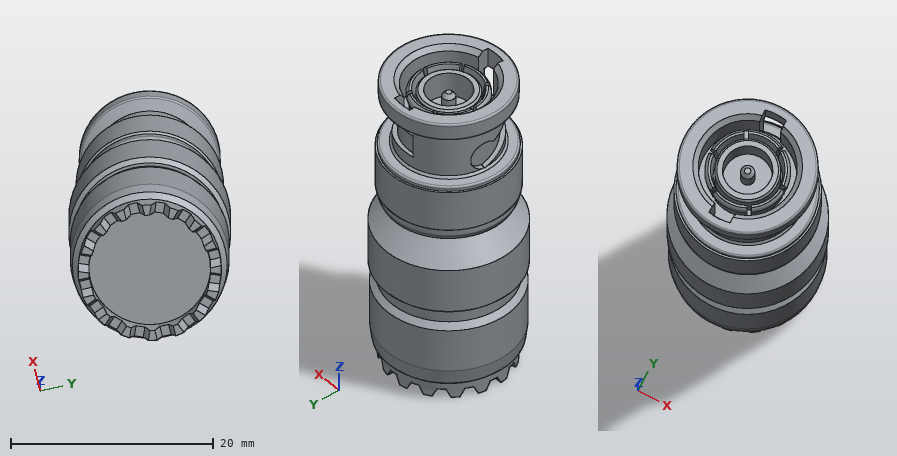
import cadquery as cq
import math

total_height = 35.4
grip_radius = 8.0

tooth_count = 16
tooth_height = 1.03
toothed_rim_radius = 7.08
toothed_rim_height = 1.8
toothed_rim_bore = 6.02
gap_root_width = 0.9
gap_mouth_width = 1.88

lower_grip_radius = 7.85
lower_taper_radius = 7.65
lower_taper_bottom = 2.37
lower_taper_top = 4.1
lower_grip_top = 9.35
neck_radius = 7.22
neck_bottom = lower_grip_top + lower_grip_radius - neck_radius
neck_top = 11.55
upper_grip_chamfer_radius = 7.55
upper_grip_bottom = neck_top + grip_radius - upper_grip_chamfer_radius
upper_grip_top = 17.3

collar_bottom = 20.5
cone_top_radius = grip_radius - (collar_bottom - upper_grip_top)
collar_foot_radius = 6.83
collar_step_radius = 7.08
collar_taper_top = 21.03
collar_radius = 7.3
collar_band_bottom = 22.0
collar_band_chamfer = 0.2
collar_band_top = 26.87
collar_top = 27.4

sleeve_radius = 5.63
sleeve_foot = 0.25
flange_radius = 6.97
flange_cone_bottom = 33.0
flange_cone_top = 33.45
edge_radius = 0.2
nut_bore_radius = 4.9
nut_bore_chamfer = 0.53

barrel_radius = 5.05
barrel_top = 31.08

track_width = 2.35
entry_slot_radius = 6.05
ramp_angle = 14.4
lock_hole_radius = 1.6
lock_hole_height = 29.25

finger_count = 6
finger_slot_width = 0.42
finger_top = 34.23
finger_bore = 3.45
finger_chamfer_radius = 3.68
finger_chamfer_depth = 1.4
finger_tip_radius = 3.93
finger_bulge_radius = 4.25
finger_bulge_height = 33.63

insulator_top = 34.05
insulator_radius = 3.25
insulator_chamfer = 0.2
insulator_bore = 2.48
pin_top = 33.75
pin_radius = 0.7
pin_tip_radius = 0.32
pin_shoulder = 33.25


def turned(profile):
    """Revolve a closed (radius, height) outline about the Z axis."""
    return cq.Workplane("XZ").polyline(profile).close().revolve(360, (0, 0), (0, 1))


def disc(radius, bottom, top):
    return cq.Workplane("XY").workplane(offset=bottom).circle(radius).extrude(top - bottom)


def edges_at(solid, radius, height):
    """Select the circular edge with the given radius at the given height."""
    tolerance = 0.005
    reach = radius + tolerance
    return solid.edges(
        cq.selectors.BoxSelector(
            (-reach, -reach, height - tolerance), (reach, reach, height + tolerance), boundingbox=True
        )
    )


def make_grip():
    return turned([
        (0, 0),
        (toothed_rim_radius, 0),
        (toothed_rim_radius, toothed_rim_height),
        (lower_taper_radius, lower_taper_bottom),
        (lower_grip_radius, lower_taper_top),
        (lower_grip_radius, lower_grip_top),
        (neck_radius, neck_bottom),
        (neck_radius, neck_top),
        (upper_grip_chamfer_radius, neck_top),
        (grip_radius, upper_grip_bottom),
        (grip_radius, upper_grip_top),
        (cone_top_radius, collar_bottom),
        (0, collar_bottom),
    ])


def cut_teeth(grip):
    """Hollow the bottom rim and cut trapezoidal radial gaps around it."""
    grip = grip.cut(disc(toothed_rim_bore, 0, toothed_rim_height))
    gap_outline = [
        (-gap_mouth_width / 2, 0),
        (gap_mouth_width / 2, 0),
        (gap_root_width / 2, tooth_height),
        (-gap_root_width / 2, tooth_height),
    ]
    gap = cq.Workplane("XZ").polyline(gap_outline).close().extrude(grip_radius)
    for index in range(tooth_count):
        grip = grip.cut(gap.rotate((0, 0, 0), (0, 0, 1), index * 360 / tooth_count))
    return grip


def make_collar():
    collar = turned([
        (0, collar_bottom),
        (collar_foot_radius, collar_bottom),
        (collar_step_radius, collar_taper_top),
        (collar_step_radius, collar_band_bottom - collar_band_chamfer),
        (collar_radius, collar_band_bottom),
        (collar_radius, collar_band_top),
        (collar_step_radius, collar_band_top),
        (collar_step_radius, collar_top),
        (0, collar_top),
    ])
    for height in (collar_taper_top, collar_top):
        collar = edges_at(collar, collar_step_radius, height).fillet(edge_radius)
    return collar


def make_sleeve_and_flange():
    flange = turned([
        (0, flange_cone_bottom),
        (sleeve_radius, flange_cone_bottom),
        (flange_radius, flange_cone_top),
        (flange_radius, total_height),
        (0, total_height),
    ])
    for height in (flange_cone_top, total_height):
        flange = edges_at(flange, flange_radius, height).fillet(edge_radius)
    sleeve = turned([
        (0, collar_top),
        (sleeve_radius + sleeve_foot, collar_top),
        (sleeve_radius, collar_top + sleeve_foot),
        (sleeve_radius, flange_cone_bottom),
        (0, flange_cone_bottom),
    ])
    bore = turned([
        (0, barrel_top),
        (nut_bore_radius, barrel_top),
        (nut_bore_radius, total_height - nut_bore_chamfer),
        (nut_bore_radius + nut_bore_chamfer, total_height),
        (0, total_height),
    ])
    return sleeve.union(flange).cut(bore)


def make_bayonet_track():
    """Cutter for the track entering at -Y and locking at -X, kept outside the barrel."""
    slope = math.tan(math.radians(ramp_angle))
    slant = math.cos(math.radians(ramp_angle))
    ramp_bottom_at_axis = lock_hole_height - lock_hole_radius / slant
    ramp_rise = track_width / slant
    entry_bottom = ramp_bottom_at_axis + slope * sleeve_radius

    ramp = (
        cq.Workplane("YZ")
        .workplane(offset=-grip_radius)
        .polyline([
            (0, ramp_bottom_at_axis),
            (0, ramp_bottom_at_axis + ramp_rise),
            (-grip_radius, ramp_bottom_at_axis + ramp_rise + slope * grip_radius),
            (-grip_radius, ramp_bottom_at_axis + slope * grip_radius),
        ])
        .close()
        .extrude(grip_radius + track_width / 2)
    )
    lock_hole = (
        cq.Workplane("YZ")
        .workplane(offset=-grip_radius)
        .center(0, lock_hole_height)
        .circle(lock_hole_radius)
        .extrude(grip_radius)
    )
    entry_base = entry_bottom + ramp_rise / 2
    entry = (
        cq.Workplane("XY", origin=(0, 0, entry_base))
        .box(track_width, grip_radius, total_height - entry_base, centered=(True, False, False))
        .translate((0, -grip_radius, 0))
        .intersect(disc(entry_slot_radius, 0, total_height))
    )
    track = ramp.union(lock_hole).union(entry)
    return track.cut(disc(barrel_radius, 0, barrel_top))


def make_finger_ring():
    """Contact ring with a rounded outer bulge near its tip, split into fingers."""
    bulge_bottom = 2 * finger_bulge_height - finger_top
    ring = (
        cq.Workplane("XZ")
        .moveTo(finger_bore, barrel_top)
        .lineTo(finger_tip_radius, barrel_top)
        .lineTo(finger_tip_radius, bulge_bottom)
        .threePointArc((finger_bulge_radius, finger_bulge_height), (finger_tip_radius, finger_top))
        .lineTo(finger_chamfer_radius, finger_top)
        .lineTo(finger_bore, finger_top - finger_chamfer_depth)
        .close()
        .revolve(360, (0, 0), (0, 1))
    )
    slot = cq.Workplane("XY", origin=(0, 0, barrel_top)).box(
        grip_radius, finger_slot_width, total_height - barrel_top, centered=(False, True, False)
    )
    for index in range(finger_count):
        ring = ring.cut(slot.rotate((0, 0, 0), (0, 0, 1), index * 360 / finger_count))
    return ring


def make_insulator():
    return turned([
        (insulator_bore, barrel_top),
        (insulator_radius, barrel_top),
        (insulator_radius, insulator_top - insulator_chamfer),
        (insulator_radius - insulator_chamfer, insulator_top),
        (insulator_bore, insulator_top),
    ])


def make_pin():
    return turned([
        (0, barrel_top),
        (pin_radius, barrel_top),
        (pin_radius, pin_shoulder),
        (pin_tip_radius, pin_top),
        (0, pin_top),
    ])


nut = make_sleeve_and_flange()
track = make_bayonet_track()
for turn in (0, 180):
    nut = nut.cut(track.rotate((0, 0, 0), (0, 0, 1), turn))

result = cut_teeth(make_grip())
for component in (make_collar(), nut, make_finger_ring(), make_insulator(), make_pin()):
    result = result.union(component)